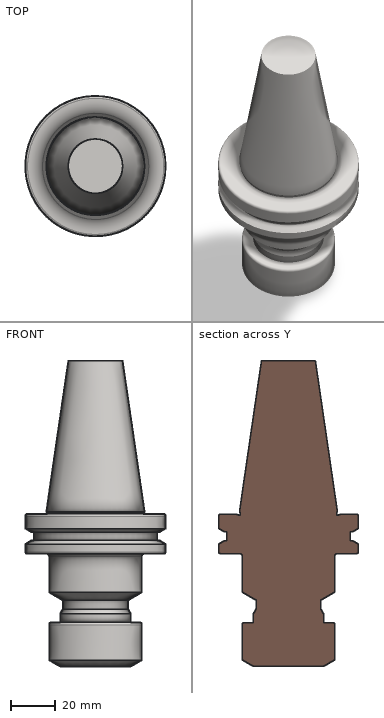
import cadquery as cq
import math


gauge_radius = 44.45 / 2
taper_length = 68.25
taper_ratio = 7 / 24
taper_tip_radius = gauge_radius - taper_length * taper_ratio / 2

relief_radius = 43.85 / 2
gauge_chamfer_height = 0.4
relief_rim_radius = 48.0 / 2
relief_bottom_z = -1.55

flange_radius = 63.5 / 2
flange_top_z = -1.0
flange_bottom_z = -19.05
flange_edge_fillet = 1.0
groove_root_radius = 56.0 / 2
groove_center_z = -11.1
groove_floor_width = 3.75
groove_mouth_width = 7.0
groove_wall_slope = math.radians(30)

body_radius = 42.0 / 2
body_fillet = 1.0
neck_radius = 29.5 / 2
neck_top_z = -40.0
neck_bottom_z = -44.0
body_cone_slope = math.radians(30)

collar_radius = 32.0 / 2
collar_cone_slope = math.radians(60)

nut_radius = 42.0 / 2
nut_top_z = -50.0
nut_bottom_z = -70.0
nut_edge_fillet = 1.0
nut_cone_height = 3.0
nut_cone_slope = math.radians(30)


def revolve_profile(outline):
    """Close an outline of (radius, z) points along the axis and turn it about Z."""
    on_axis = [(0, outline[0][1])] + outline + [(0, outline[-1][1])]
    return cq.Workplane("XZ").polyline(on_axis).close().revolve(360, (0, 0, 0), (0, 1, 0))


def revolve_ring(outline):
    """Turn a closed outline that stays clear of the axis about Z."""
    return outline.close().revolve(360, (0, 0, 0), (0, 1, 0))


def make_shank():
    return revolve_profile([
        (taper_tip_radius, taper_length),
        (gauge_radius, 0),
        (relief_radius, -gauge_chamfer_height),
        (relief_radius, flange_bottom_z),
    ])


def make_flange():
    flange_height = flange_top_z - flange_bottom_z
    flange = cq.Workplane("XY", origin=(0, 0, flange_bottom_z)).circle(flange_radius).extrude(flange_height)
    flange = flange.edges().fillet(flange_edge_fillet)
    return flange.cut(make_groove()).cut(make_relief())


def make_groove():
    """V-groove whose sloping walls end on a narrow square-sided floor channel."""
    floor_half_width = groove_floor_width / 2
    mouth_half_width = groove_mouth_width / 2
    wall_depth = (mouth_half_width - floor_half_width) / math.tan(groove_wall_slope)
    channel_radius = flange_radius - wall_depth
    outline = cq.Workplane("XZ").polyline([
        (groove_root_radius, groove_center_z + floor_half_width),
        (channel_radius, groove_center_z + floor_half_width),
        (flange_radius, groove_center_z + mouth_half_width),
        (flange_radius, groove_center_z - mouth_half_width),
        (channel_radius, groove_center_z - floor_half_width),
        (groove_root_radius, groove_center_z - floor_half_width),
    ])
    return revolve_ring(outline)


def make_relief():
    """Conical dish sunk into the top of the flange around the shank."""
    return revolve_profile([
        (relief_rim_radius, flange_top_z),
        (relief_radius, relief_bottom_z),
    ])


def make_body():
    collar_top_z = neck_bottom_z - (collar_radius - neck_radius) * math.tan(collar_cone_slope)
    cone_height = (body_radius - neck_radius) * math.tan(body_cone_slope)
    return revolve_profile([
        (body_radius, flange_bottom_z),
        (body_radius, neck_top_z + cone_height),
        (neck_radius, neck_top_z),
        (neck_radius, neck_bottom_z),
        (collar_radius, collar_top_z),
        (collar_radius, nut_top_z),
    ])


def make_body_fillet():
    """Concave ring that blends the body into the underside of the flange."""
    diagonal = body_fillet * (1 - math.sqrt(0.5))
    outline = (
        cq.Workplane("XZ")
        .moveTo(body_radius, flange_bottom_z)
        .lineTo(body_radius + body_fillet, flange_bottom_z)
        .threePointArc(
            (body_radius + diagonal, flange_bottom_z - diagonal),
            (body_radius, flange_bottom_z - body_fillet),
        )
    )
    return revolve_ring(outline)


def make_nut():
    nut_face_radius = nut_radius - nut_cone_height / math.tan(nut_cone_slope)
    nut = revolve_profile([
        (nut_radius, nut_top_z),
        (nut_radius, nut_bottom_z + nut_cone_height),
        (nut_face_radius, nut_bottom_z),
    ])
    return nut.edges(">Z").fillet(nut_edge_fillet)


result = (
    make_flange()
    .union(make_shank())
    .union(make_body())
    .union(make_body_fillet())
    .union(make_nut())
)